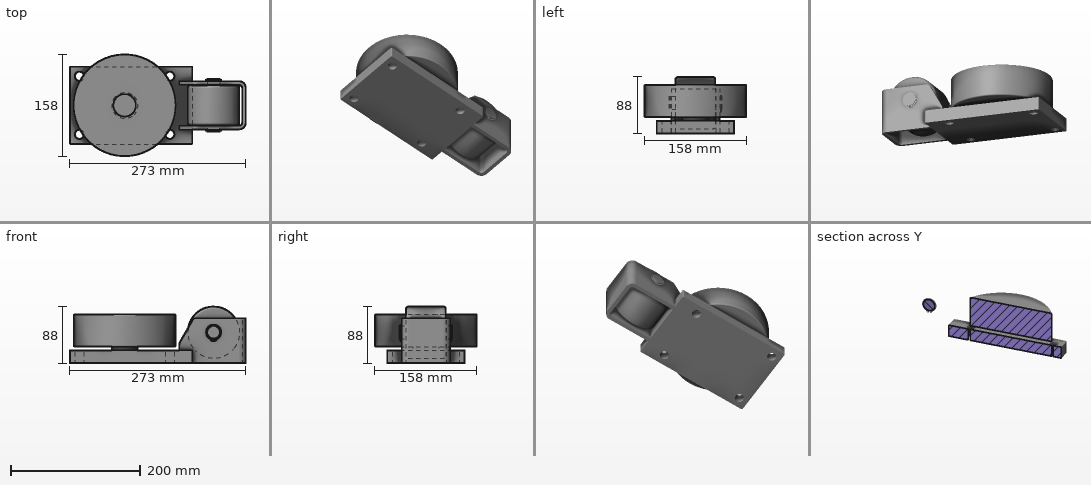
import cadquery as cq
import math

PLATE_LENGTH = 190.0
PLATE_WIDTH = 120.0
PLATE_THICKNESS = 20.0
PLATE_CORNER_RADIUS = 2.0
BOLT_HOLE_DIAMETER = 14.0
BOLT_SPACING_X = 140.0
BOLT_SPACING_Y = 90.0

WHEEL_X = 85.0
WHEEL_DIAMETER = 158.0
WHEEL_BOTTOM = 25.7
WHEEL_HEIGHT = 50.0
WHEEL_EDGE_RADIUS = 2.0
POST_DIAMETER = 40.0
HUB_DIAMETER = 35.0
HUB_RISE = 0.5

BRACKET_FRONT = 169.5
BRACKET_BACK = 273.0
BRACKET_WIDTH = 75.0
BRACKET_HEIGHT = 70.0
BRACKET_THICKNESS = 6.0
BEND_INNER_RADIUS = 5.0
BEND_OUTER_RADIUS = BEND_INNER_RADIUS + BRACKET_THICKNESS
SLOPE_START = 30.8
SLOPE_ANGLE = math.radians(60)
SLOPE_TOP_RADIUS = 5.5
SLOPE_FOOT_RADIUS = 10.0

ROLLER_X = 222.8
ROLLER_DIAMETER = 80.0
OVERALL_HEIGHT = 88.0
ROLLER_Z = OVERALL_HEIGHT - ROLLER_DIAMETER / 2
ROLLER_LENGTH = 62.0
ROLLER_EDGE_RADIUS = 4.0
AXLE_DIAMETER = 20.0
AXLE_LENGTH = 82.5
RING_DIAMETER = 23.5
RING_THICKNESS = 1.5
RING_CLEARANCE = 0.8
GROOVE_DIAMETER = 19.0
EAR_REACH = 13.6
EAR_WIDTH = 9.8
EAR_SIDE_RADIUS = 3.3
EAR_GAP = 2.2
EAR_HOLE_DIAMETER = 2.0
EAR_HOLE_SPACING = 5.2
EAR_HOLE_DROP = 11.6


def make_plate():
    """Rectangular base plate with four through holes around the wheel."""
    plate = (
        cq.Workplane("XY")
        .box(PLATE_LENGTH, PLATE_WIDTH, PLATE_THICKNESS, centered=(False, True, False))
        .edges("|Z")
        .fillet(PLATE_CORNER_RADIUS)
    )
    bolt_holes = (
        cq.Workplane("XY")
        .center(WHEEL_X, 0)
        .rect(BOLT_SPACING_X, BOLT_SPACING_Y, forConstruction=True)
        .vertices()
        .circle(BOLT_HOLE_DIAMETER / 2)
        .extrude(PLATE_THICKNESS)
    )
    return plate.cut(bolt_holes)


def vertical_cylinder(diameter, bottom, top):
    """Cylinder on the wheel axis between two heights."""
    return cq.Workplane("XY", origin=(WHEEL_X, 0, bottom)).circle(diameter / 2).extrude(top - bottom)


def make_wheel():
    """Wheel with rounded rims, the post under it and the hub end above it."""
    wheel_top = WHEEL_BOTTOM + WHEEL_HEIGHT
    wheel = vertical_cylinder(WHEEL_DIAMETER, WHEEL_BOTTOM, wheel_top).edges().fillet(WHEEL_EDGE_RADIUS)
    post = vertical_cylinder(POST_DIAMETER, PLATE_THICKNESS, WHEEL_BOTTOM)
    hub_end = vertical_cylinder(HUB_DIAMETER, wheel_top, wheel_top + HUB_RISE)
    return wheel.union(post).union(hub_end)


def make_bracket():
    """Bent U strip whose two legs slope down towards the wheel."""
    length = BRACKET_BACK - BRACKET_FRONT
    inner_width = BRACKET_WIDTH - 2 * BRACKET_THICKNESS
    outer = (
        cq.Workplane("XY", origin=(BRACKET_FRONT, 0, 0))
        .box(length, BRACKET_WIDTH, BRACKET_HEIGHT, centered=(False, True, False))
        .edges("|Z and >X")
        .fillet(BEND_OUTER_RADIUS)
    )
    inner = (
        cq.Workplane("XY", origin=(BRACKET_FRONT, 0, 0))
        .box(length - BRACKET_THICKNESS, inner_width, BRACKET_HEIGHT, centered=(False, True, False))
        .edges("|Z and >X")
        .fillet(BEND_INNER_RADIUS)
    )
    slope_run = (BRACKET_HEIGHT - SLOPE_START) / math.tan(SLOPE_ANGLE)
    leg_outline = (
        cq.Workplane("XZ")
        .moveTo(BRACKET_FRONT, 0)
        .lineTo(BRACKET_BACK, 0)
        .lineTo(BRACKET_BACK, BRACKET_HEIGHT)
        .lineTo(BRACKET_FRONT + slope_run, BRACKET_HEIGHT)
        .lineTo(BRACKET_FRONT, SLOPE_START)
        .close()
        .extrude(BRACKET_WIDTH / 2, both=True)
    )
    leg_outline = leg_outline.edges("|Y").edges("not(<Z or >X or >Z)").fillet(SLOPE_FOOT_RADIUS)
    leg_outline = leg_outline.faces(">Z").edges("<X").fillet(SLOPE_TOP_RADIUS)
    return outer.cut(inner).intersect(leg_outline)


def axle_cylinder(diameter, length):
    """Cylinder along Y on the roller axis, centred on Y = 0."""
    return (
        cq.Workplane("XZ", origin=(ROLLER_X, length / 2, ROLLER_Z))
        .circle(diameter / 2)
        .extrude(length)
    )


def make_retaining_ring(ring_start):
    """Retaining ring with two drilled ears, its -Y face at Y = ring_start."""

    def sketch():
        return cq.Workplane("XZ", origin=(ROLLER_X, ring_start, ROLLER_Z))

    ring = sketch().circle(RING_DIAMETER / 2).extrude(-RING_THICKNESS)
    ears = (
        sketch()
        .center(0, -EAR_REACH / 2)
        .rect(EAR_WIDTH, EAR_REACH)
        .extrude(-RING_THICKNESS)
        .edges("|Y and <Z")
        .fillet(EAR_SIDE_RADIUS)
    )
    gap = sketch().center(0, -EAR_REACH / 2).rect(EAR_GAP, EAR_REACH).extrude(-RING_THICKNESS)
    ear_holes = (
        sketch()
        .pushPoints([(side * EAR_HOLE_SPACING / 2, -EAR_HOLE_DROP) for side in (-1, 1)])
        .circle(EAR_HOLE_DIAMETER / 2)
        .extrude(-RING_THICKNESS)
    )
    bore = sketch().circle(GROOVE_DIAMETER / 2).extrude(-RING_THICKNESS)
    return ring.union(ears).cut(gap).cut(ear_holes).cut(bore)


def make_roller():
    """Roller, axle and both retaining rings as one body."""
    roller = axle_cylinder(ROLLER_DIAMETER, ROLLER_LENGTH).edges().fillet(ROLLER_EDGE_RADIUS)
    axle = axle_cylinder(AXLE_DIAMETER, AXLE_LENGTH)
    roller = roller.union(axle)
    ring_offset = BRACKET_WIDTH / 2 + RING_CLEARANCE
    for ring_start in (-ring_offset - RING_THICKNESS, ring_offset):
        groove = (
            cq.Workplane("XZ", origin=(ROLLER_X, ring_start, ROLLER_Z))
            .circle(AXLE_DIAMETER / 2)
            .circle(GROOVE_DIAMETER / 2)
            .extrude(-RING_THICKNESS)
        )
        roller = roller.cut(groove).union(make_retaining_ring(ring_start))
    return roller


axle_bore = axle_cylinder(AXLE_DIAMETER, BRACKET_WIDTH)
frame = make_plate().union(make_wheel()).union(make_bracket().cut(axle_bore))
roller = make_roller()

result = cq.Compound.makeCompound([frame.val(), roller.val()])